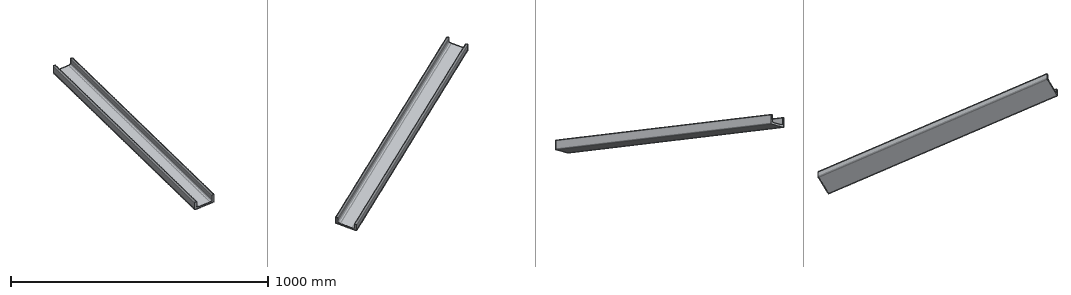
import cadquery as cq
import math

length = 1000.0
width = 90.5
height = 38.0

wall = 9.75
floor = 8.25
flat_floor_width = 51.0
ramp_angle = 15.0
edge_radius = 3.0

half_width = width / 2
wall_inner_y = half_width - wall
flat_half_width = flat_floor_width / 2
ramp_run = wall_inner_y - flat_half_width
ramp_top = floor + ramp_run * math.tan(math.radians(ramp_angle))


def channel_blank():
    """Sharp-edged U channel along X, whose floor ramps up towards each wall."""
    section = (
        cq.Workplane("YZ")
        .workplane(offset=-length / 2)
        .moveTo(-half_width, 0)
        .lineTo(half_width, 0)
        .lineTo(half_width, height)
        .lineTo(wall_inner_y, height)
        .lineTo(wall_inner_y, ramp_top)
        .lineTo(flat_half_width, floor)
        .lineTo(-flat_half_width, floor)
        .lineTo(-wall_inner_y, ramp_top)
        .lineTo(-wall_inner_y, height)
        .lineTo(-half_width, height)
        .close()
    )
    return section.extrude(length)


def round_lengthwise_edges(body, z):
    """Fillet every edge parallel to X at height z."""
    margin = 0.01
    at_height = cq.selectors.BoxSelector(
        (-length, -width, z - margin),
        (length, width, z + margin),
    )
    return body.edges("|X").edges(at_height).fillet(edge_radius)


result = channel_blank()
for edge_height in (ramp_top, height, 0):
    result = round_lengthwise_edges(result, edge_height)